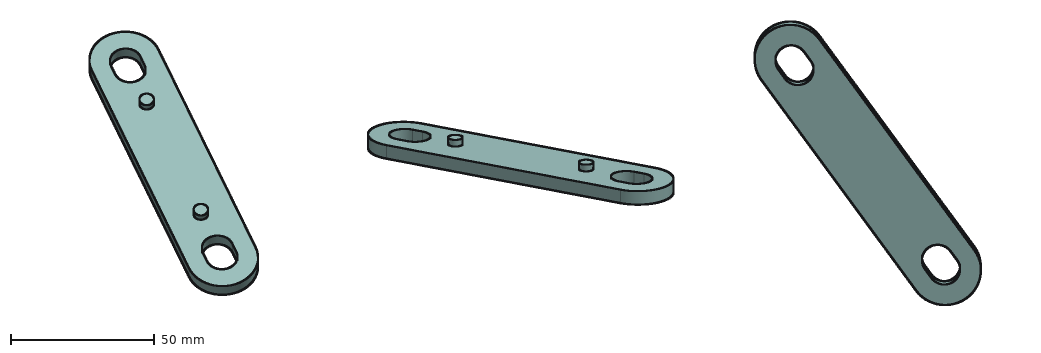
import cadquery as cq

length = 118.0
width = 25.0
total_height = 7.5
pin_height = 2.5
plate_thickness = total_height - pin_height

slot_length = 15.0
slot_width = 11.0
slot_spacing = 88.0

pin_diameter = 5.1
pin_spacing = 51.9


def mirrored_pair(spacing):
    """Points on the long axis, equally far from the middle of the plate."""
    return [(-spacing / 2, 0), (spacing / 2, 0)]


plate = cq.Workplane("XY").slot2D(length, width).extrude(plate_thickness)

slots = (
    cq.Workplane("XY")
    .pushPoints(mirrored_pair(slot_spacing))
    .slot2D(slot_length, slot_width)
    .extrude(plate_thickness)
)

pins = (
    cq.Workplane("XY")
    .pushPoints(mirrored_pair(pin_spacing))
    .circle(pin_diameter / 2)
    .extrude(total_height)
)

result = plate.cut(slots).union(pins)